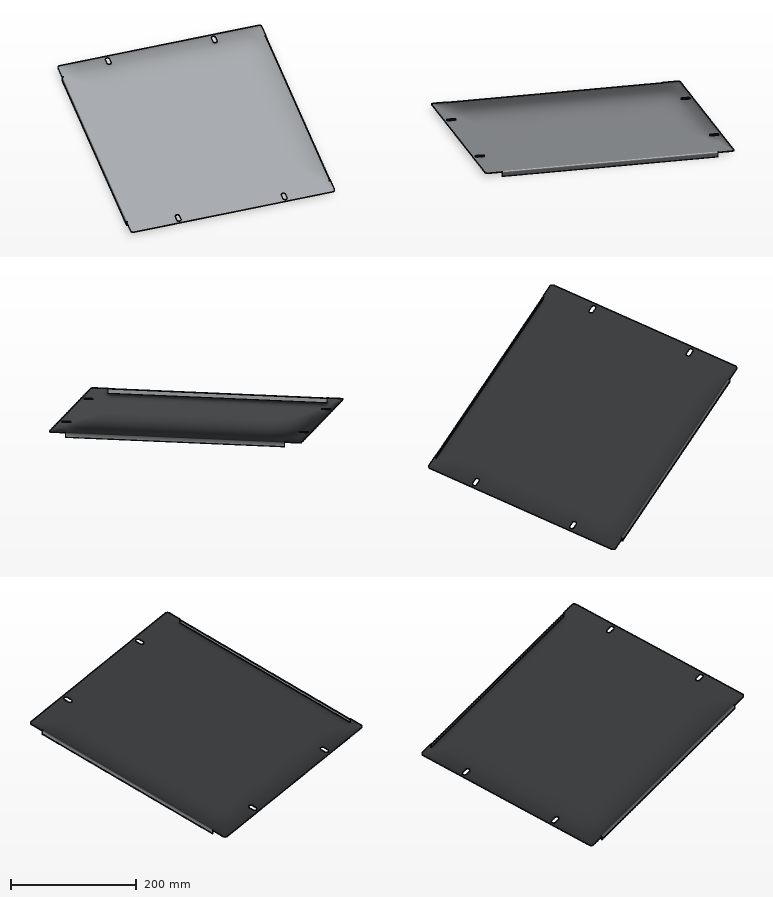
import cadquery as cq

panel_length = 410.0
panel_width = 339.0
sheet_thickness = 1.0
corner_radius = 5.0

flange_length = 356.0
flange_height = 8.0
bend_inner_radius = 1.0
bend_outer_radius = bend_inner_radius + sheet_thickness

slot_length = 15.0
slot_width = 7.0
slot_spacing_x = 386.2
slot_spacing_y = 176.5


def make_panel():
    """Flat sheet with rounded corners, its top face at Z = 0."""
    return (
        cq.Workplane("XY")
        .workplane(offset=-sheet_thickness)
        .rect(panel_length, panel_width)
        .extrude(sheet_thickness)
        .edges("|Z")
        .fillet(corner_radius)
    )


def make_bend_clearance():
    """Square-edged block that removes the panel edge where the front flange folds down."""
    return (
        cq.Workplane("XY")
        .box(flange_length, bend_outer_radius, sheet_thickness)
        .translate((0, (bend_outer_radius - panel_width) / 2, -sheet_thickness / 2))
    )


def make_flange():
    """Front flange: a quarter-round bend continuing into a vertical leg."""
    outer_y = -panel_width / 2
    bend_y = outer_y + bend_outer_radius
    leg = (
        cq.Workplane("XY")
        .box(flange_length, sheet_thickness, flange_height - bend_outer_radius)
        .translate((0, outer_y + sheet_thickness / 2, -(flange_height + bend_outer_radius) / 2))
    )
    bend_block = (
        cq.Workplane("XY")
        .box(flange_length, bend_outer_radius, bend_outer_radius)
        .translate((0, outer_y + bend_outer_radius / 2, -bend_outer_radius / 2))
    )
    bend_ring = (
        cq.Workplane("YZ")
        .workplane(offset=-flange_length / 2)
        .center(bend_y, -bend_outer_radius)
        .circle(bend_outer_radius)
        .circle(bend_inner_radius)
        .extrude(flange_length)
    )
    return leg.union(bend_ring.intersect(bend_block))


def make_slots():
    """Four round-ended slots through the panel, running along X."""
    return (
        cq.Workplane("XY")
        .rarray(slot_spacing_x, slot_spacing_y, 2, 2)
        .slot2D(slot_length, slot_width)
        .extrude(-sheet_thickness)
    )


result = make_panel().cut(make_slots())
clearance = make_bend_clearance()
flange = make_flange()
for turn in (0, 180):
    axis = ((0, 0, 0), (0, 0, 1), turn)
    result = result.cut(clearance.rotate(*axis)).union(flange.rotate(*axis))